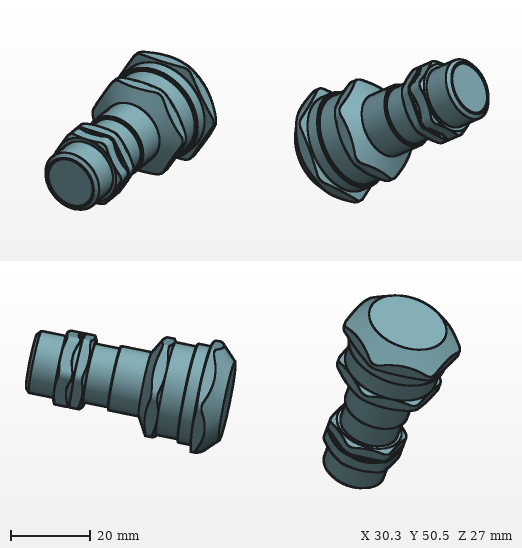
import cadquery as cq
import math

END_Y = -25.25
THREAD_CHAMFER_Y = -24.3
LOCKNUT_FRONT_Y = -17.75
LOCKNUT_BACK_Y = -13.8
COLLAR_FRONT_Y = -13.35
COLLAR_BACK_Y = -10.25
SLEEVE_FRONT_Y = -3.85
SLEEVE_BACK_Y = 4.15
BODY_HEX_BACK_Y = 9.5
RING_FRONT_Y = 15.1
CAP_FRONT_Y = 18.6
CAP_BACK_Y = 25.25

THREAD_DIAMETER = 16.0
THREAD_TIP_DIAMETER = 13.95
NECK_DIAMETER = 15.2
SLEEVE_DIAMETER = 16.6
BODY_DIAMETER = 24.0
RING_DIAMETER = 25.5
CAP_BACK_DIAMETER = 20.3
SEAL_DIAMETER = 17.3

CAP_FLATS = 27.0
BODY_FLATS = BODY_DIAMETER
NUT_FLATS = 18.0
CAP_CORNER_RADIUS = 2.9
BODY_CORNER_RADIUS = 3.05
NUT_CORNER_RADIUS = 2.45

NUT_SLOPE = math.tan(math.radians(30))
CAP_FRONT_SLOPE = math.tan(math.radians(12))
STEEP_SLOPE = math.tan(math.radians(45))

COLLAR_FACE_DIAMETER = 17.1
SEAT_FLAT_DEPTH = 0.9
SEAL_SECTION_RADIUS = 0.85
SEAL_Y = -13.95
EDGE_CHAMFER = 0.2
RECESS_DIAMETER = 13.15
RECESS_DEPTH = 0.15
RECESS_CHAMFER = 0.1


def cylinder(diameter, front_y, back_y):
    """Solid cylinder on the Y axis between two stations."""
    disc = cq.Workplane("XZ", origin=(0, front_y, 0)).circle(diameter / 2)
    return disc.extrude(front_y - back_y)


def turned(points):
    """Solid of revolution about Y from (radius, y) points."""
    return cq.Workplane("XY").polyline(points).close().revolve(360, (0, 0), (0, 1))


def hexagon(flats, corner_radius, front_y, back_y):
    """Rounded hexagonal prism with two flats facing +Z and -Z."""
    across_corners = flats / math.cos(math.pi / 6)
    prism = cq.Workplane("XZ", origin=(0, front_y, 0)).polygon(6, across_corners)
    return prism.extrude(front_y - back_y).edges("|Y").fillet(corner_radius)


def coned_hexagon(flats, corner_radius, front, back):
    """Hexagon trimmed by a cone at each end; front and back are (face diameter, y, slope)."""
    front_diameter, front_y, front_slope = front
    back_diameter, back_y, back_slope = back
    outer_radius = flats / math.sqrt(3)
    front_rise = (outer_radius - front_diameter / 2) * front_slope
    back_drop = (outer_radius - back_diameter / 2) * back_slope
    envelope = turned([
        (0, front_y),
        (front_diameter / 2, front_y),
        (outer_radius, front_y + front_rise),
        (outer_radius, back_y - back_drop),
        (back_diameter / 2, back_y),
        (0, back_y),
    ])
    return hexagon(flats, corner_radius, front_y, back_y).intersect(envelope)


def cap_nut():
    return coned_hexagon(
        CAP_FLATS, CAP_CORNER_RADIUS,
        (RING_DIAMETER, CAP_FRONT_Y, CAP_FRONT_SLOPE),
        (CAP_BACK_DIAMETER, CAP_BACK_Y, STEEP_SLOPE),
    )


def body_hexagon():
    return coned_hexagon(
        BODY_FLATS, BODY_CORNER_RADIUS,
        (SLEEVE_DIAMETER, SLEEVE_BACK_Y, NUT_SLOPE),
        (BODY_FLATS, BODY_HEX_BACK_Y, NUT_SLOPE),
    )


def collar():
    """Hexagonal collar with a plain front face."""
    return coned_hexagon(
        NUT_FLATS, NUT_CORNER_RADIUS,
        (NUT_FLATS, COLLAR_FRONT_Y, 0),
        (COLLAR_FACE_DIAMETER, COLLAR_BACK_Y, NUT_SLOPE),
    )


def locknut():
    """Hexagonal nut with a conical seat hollowed into its back face."""
    nut = coned_hexagon(
        NUT_FLATS, NUT_CORNER_RADIUS,
        (NUT_FLATS, LOCKNUT_FRONT_Y, NUT_SLOPE),
        (NUT_FLATS, LOCKNUT_BACK_Y, 0),
    )
    mouth_radius = NUT_FLATS / 2 + SEAT_FLAT_DEPTH / STEEP_SLOPE
    seat_floor_radius = THREAD_DIAMETER / 2
    seat_depth = (mouth_radius - seat_floor_radius) * STEEP_SLOPE
    seat = turned([
        (0, LOCKNUT_BACK_Y),
        (mouth_radius, LOCKNUT_BACK_Y),
        (seat_floor_radius, LOCKNUT_BACK_Y - seat_depth),
        (0, LOCKNUT_BACK_Y - seat_depth),
    ])
    return nut.cut(seat)


def seal():
    """Round-section sealing ring lying in the locknut seat against the collar."""
    centre_radius = SEAL_DIAMETER / 2 - SEAL_SECTION_RADIUS
    section_circle = cq.Workplane("XY").center(centre_radius, SEAL_Y).circle(SEAL_SECTION_RADIUS)
    return section_circle.revolve(360, (-centre_radius, 0), (-centre_radius, 1))


def threaded_end():
    thread = turned([
        (0, END_Y),
        (THREAD_TIP_DIAMETER / 2, END_Y),
        (THREAD_DIAMETER / 2, THREAD_CHAMFER_Y),
        (THREAD_DIAMETER / 2, COLLAR_FRONT_Y),
        (0, COLLAR_FRONT_Y),
    ])
    floor_y = END_Y + RECESS_DEPTH
    recess = turned([
        (0, END_Y),
        (RECESS_DIAMETER / 2 + RECESS_CHAMFER, END_Y),
        (RECESS_DIAMETER / 2, floor_y),
        (0, floor_y),
    ])
    return thread.cut(recess)


neck = cylinder(NECK_DIAMETER, COLLAR_BACK_Y, SLEEVE_FRONT_Y)
sleeve = cylinder(SLEEVE_DIAMETER, SLEEVE_FRONT_Y, SLEEVE_BACK_Y).faces("<Y").chamfer(EDGE_CHAMFER)
body = cylinder(BODY_DIAMETER, BODY_HEX_BACK_Y, RING_FRONT_Y)
ring = cylinder(RING_DIAMETER, RING_FRONT_Y, CAP_FRONT_Y).faces("<Y").chamfer(EDGE_CHAMFER)

result = threaded_end()
for section in (locknut(), seal(), collar(), neck, sleeve, body_hexagon(), body, ring, cap_nut()):
    result = result.union(section)